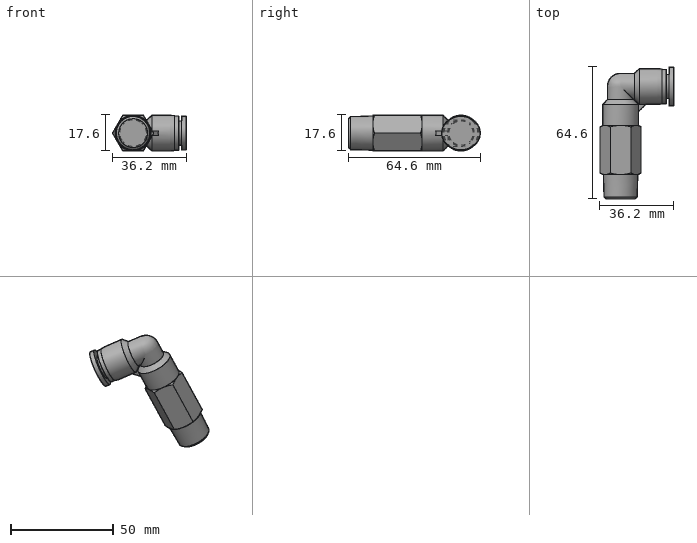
import cadquery as cq
import math


tube_radius = 6.5
socket_radius = 8.8
stem_shoulder_start = 6.4
tube_shoulder_start = 6.7
stem_shoulder_length = 2.4
tube_shoulder_length = 2.55
stem_socket_end = 19
tube_socket_end = 18.25
cap_taper_end = 20.35
cap_taper_radius = 8.6
cap_radius = 16.9 / 2
cap_end = 22.45
cap_edge_chamfer = 0.2

web_thickness = 2.2
web_reach = 21.1

sleeve_neck_radius = 11.9 / 2
flange_start = 23.8
flange_end = 26.076
flange_half_width = 9.5
flange_half_height = 8.3
flange_edge_chamfer = 0.15

hex_across_flats = 17.5
hex_across_corners = hex_across_flats / math.cos(math.pi / 6)
hex_end = 43.1
hex_chamfer_angle = math.radians(30)
hex_face_radius = hex_across_flats / 2
thread_end = 55.1
thread_base_radius = 8.5
thread_taper = 1 / 16
thread_chamfer = 1.1


def revolve_about_x(profile):
    """Turn (axial, radius) points into a solid of revolution about the X axis."""
    outline = [(profile[0][0], 0), *profile, (profile[-1][0], 0)]
    return cq.Workplane("XY").polyline(outline).close().revolve(360, (0, 0), (1, 0))


def revolve_along_stem(profile):
    """Turn (axial, radius) points into a solid of revolution along the -Y axis."""
    return revolve_about_x(profile).rotate((0, 0, 0), (0, 0, 1), -90)


def make_elbow():
    corner = cq.Workplane("XY").sphere(tube_radius)
    stem_leg = revolve_along_stem([
        (0, tube_radius),
        (stem_shoulder_start, tube_radius),
        (stem_shoulder_start + stem_shoulder_length, socket_radius),
        (stem_socket_end, socket_radius),
    ])
    tube_leg = revolve_about_x([
        (0, tube_radius),
        (tube_shoulder_start, tube_radius),
        (tube_shoulder_start + tube_shoulder_length, socket_radius),
        (tube_socket_end, socket_radius),
        (cap_taper_end, cap_taper_radius),
        (cap_taper_end, cap_radius),
        (cap_end - cap_edge_chamfer, cap_radius),
        (cap_end, cap_radius - cap_edge_chamfer),
    ])
    web_far = web_reach - tube_radius
    web = (
        cq.Workplane("XY")
        .polyline([(tube_radius, -tube_radius), (web_far, -tube_radius), (tube_radius, -web_far)])
        .close()
        .extrude(web_thickness / 2, both=True)
    )
    return stem_leg.union(tube_leg).union(corner).union(web)


def make_stem():
    hexagon = (
        cq.Workplane("XZ", origin=(0, -stem_socket_end, 0))
        .polygon(6, hex_across_corners)
        .extrude(hex_end - stem_socket_end)
    )
    corner_radius = hex_across_corners / 2
    chamfer_length = (corner_radius - hex_face_radius) * math.tan(hex_chamfer_angle)
    chamfer_envelope = revolve_along_stem([
        (stem_socket_end, hex_face_radius),
        (stem_socket_end + chamfer_length, corner_radius),
        (hex_end - chamfer_length, corner_radius),
        (hex_end, hex_face_radius),
    ])
    chamfer_start = thread_end - thread_chamfer
    thread_tip_radius = thread_base_radius - (chamfer_start - hex_end) * thread_taper / 2
    thread = revolve_along_stem([
        (hex_end, thread_base_radius),
        (chamfer_start, thread_tip_radius),
        (thread_end, thread_tip_radius - thread_chamfer),
    ])
    return hexagon.intersect(chamfer_envelope).union(thread)


def make_sleeve():
    neck = revolve_about_x([(cap_end, sleeve_neck_radius), (flange_start, sleeve_neck_radius)])
    flange = (
        cq.Workplane("YZ", origin=(flange_start, 0, 0))
        .ellipse(flange_half_width, flange_half_height)
        .extrude(flange_end - flange_start)
        .faces(">X")
        .chamfer(flange_edge_chamfer)
    )
    return neck.union(flange)


elbow = make_elbow()
stem = make_stem()
sleeve = make_sleeve()

result = cq.Compound.makeCompound([elbow.val(), stem.val(), sleeve.val()])